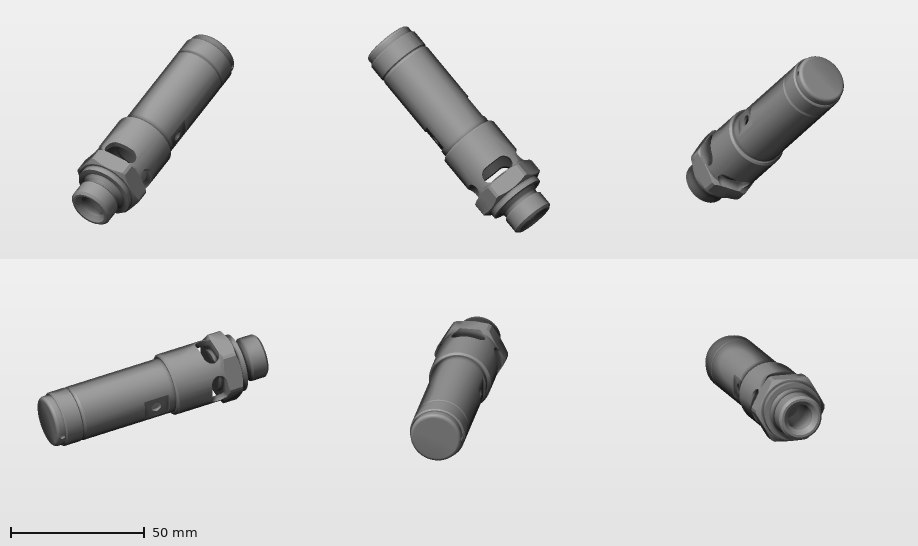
import cadquery as cq
import math


overall_length = 87.5
thread_end = 6.4
neck_start = 7.2
neck_end = 8.0
neck_cone_start = 8.8
flange_start = 10.0
hex_start = 12.25
hex_end = 19.3
slot_top = 24.9
tube_start = 32.0
skirt_end = 39.25
flat_centre = 47.0
tube_end = 77.0
cap_knob_start = 84.2
seal_hole_centre = 85.5

thread_radius = 8.35
thread_chamfer = 0.9
neck_radius = 7.5
neck_cone_radius = 8.8
flange_radius = 11.0
hex_across_flats = 24.0
hex_corner_radius = 13.5
hex_chamfer_angle = 30.0
skirt_radius = 11.8
skirt_chamfer = 0.7
cavity_radius = 9.5
inlet_radius = 4.85
countersink = 1.7
slot_count = 4
slot_width = 12.8
slot_height = 6.1
cavity_floor = slot_top - slot_height

tube_radius = 10.45
tube_bore_radius = 8.5
groove_depth = 0.5
tube_groove_chamfer = 1.0
flat_length = 10.0
flat_width = 8.7
flat_distance = math.sqrt(tube_radius**2 - (flat_width / 2) ** 2)
side_hole_diameter = 4.0

cap_chamfer = 0.5
cap_knob_radius = 9.7
cap_edge_radius = 1.3
seal_hole_diameter = 1.9

disc_radius = 8.0
disc_top = 20.1
disc_chamfer = 0.3


def turned(profile):
    """Revolve a closed (radius, y) profile about the Y axis."""
    return profile.close().revolve(360, (0, 0, 0), (0, 1, 0))


def cross_hole(diameter, y):
    """Cylinder along X that runs through the whole valve at station y."""
    length = 4 * skirt_radius
    return cq.Workplane("YZ").center(y, 0).circle(diameter / 2).extrude(length / 2, both=True)


def make_hexagon():
    """Wrench hexagon with flats up and down and turned, chamfered corners."""
    height = hex_end - hex_start
    prism = (
        cq.Workplane("XZ", origin=(0, hex_end, 0))
        .polygon(6, hex_across_flats / math.cos(math.pi / 6))
        .extrude(height)
    )
    drop = (hex_corner_radius - skirt_radius) * math.tan(math.radians(hex_chamfer_angle))
    envelope = turned(
        cq.Workplane("XY")
        .moveTo(0, hex_start)
        .lineTo(skirt_radius, hex_start)
        .lineTo(hex_corner_radius, hex_start + drop)
        .lineTo(hex_corner_radius, hex_end - drop)
        .lineTo(skirt_radius, hex_end)
        .lineTo(0, hex_end)
    )
    return prism.intersect(envelope)


def make_turned_fitting():
    """Outside of the fitting: thread, relief neck, flange and skirt."""
    cone_angle = math.atan2(neck_cone_radius - neck_radius, flange_start - neck_cone_start)
    fillet_rise = neck_cone_start - neck_end
    fillet_radius = fillet_rise / math.sin(cone_angle)
    cone_root_radius = neck_radius + fillet_radius * (1 - math.cos(cone_angle))
    fillet_middle = (
        neck_radius + fillet_radius * (1 - math.cos(cone_angle / 2)),
        neck_end + fillet_radius * math.sin(cone_angle / 2),
    )
    return turned(
        cq.Workplane("XY")
        .lineTo(thread_radius - thread_chamfer, 0)
        .lineTo(thread_radius, thread_chamfer)
        .lineTo(thread_radius, thread_end)
        .lineTo(neck_radius, neck_start)
        .lineTo(neck_radius, neck_end)
        .threePointArc(fillet_middle, (cone_root_radius, neck_cone_start))
        .lineTo(neck_cone_radius, flange_start)
        .lineTo(flange_radius, flange_start)
        .lineTo(flange_radius, hex_start)
        .lineTo(skirt_radius, hex_start)
        .lineTo(skirt_radius, skirt_end - skirt_chamfer)
        .lineTo(skirt_radius - skirt_chamfer, skirt_end)
        .lineTo(0, skirt_end)
    )


def make_fitting_bore():
    """Countersunk inlet that opens into the wide outlet cavity."""
    return turned(
        cq.Workplane("XY")
        .lineTo(inlet_radius + countersink, 0)
        .lineTo(inlet_radius, countersink)
        .lineTo(inlet_radius, cavity_floor)
        .lineTo(cavity_radius, cavity_floor)
        .lineTo(cavity_radius, skirt_end)
        .lineTo(0, skirt_end)
    )


def make_outlet_slot(angle):
    """Round-ended outlet slot through one side of the skirt."""
    slot = (
        cq.Workplane("XY", origin=(0, slot_top - slot_height / 2, 0))
        .slot2D(slot_width, slot_height)
        .extrude(hex_corner_radius)
    )
    return slot.rotate((0, 0, 0), (0, 1, 0), angle)


def make_fitting():
    fitting = make_turned_fitting().union(make_hexagon()).cut(make_fitting_bore())
    for index in range(slot_count):
        fitting = fitting.cut(make_outlet_slot(index * 360 / slot_count))
    return fitting


def make_tube():
    """Spring tube, with a spigot in the skirt and a drilled flat on each side."""
    tube = turned(
        cq.Workplane("XY")
        .moveTo(tube_bore_radius, tube_start)
        .lineTo(cavity_radius, tube_start)
        .lineTo(cavity_radius, skirt_end)
        .lineTo(tube_radius, skirt_end)
        .lineTo(tube_radius, tube_end - tube_groove_chamfer)
        .lineTo(tube_radius - groove_depth, tube_end)
        .lineTo(tube_bore_radius, tube_end)
    )
    for side in (-1, 1):
        flat_cutter = cq.Workplane("XY").box(tube_radius, flat_length, 2 * tube_radius)
        offset = side * (flat_distance + tube_radius / 2)
        tube = tube.cut(flat_cutter.translate((offset, flat_centre, 0)))
    return tube.cut(cross_hole(side_hole_diameter, flat_centre))


def make_cap():
    """Cap on the end of the tube, with a seal-wire hole across its knob."""
    cap_radius = tube_radius
    cap = turned(
        cq.Workplane("XY")
        .moveTo(0, tube_end)
        .lineTo(cap_radius - groove_depth, tube_end)
        .lineTo(cap_radius, tube_end + groove_depth)
        .lineTo(cap_radius, cap_knob_start - cap_chamfer)
        .lineTo(cap_radius - cap_chamfer, cap_knob_start)
        .lineTo(cap_knob_radius, cap_knob_start)
        .lineTo(cap_knob_radius, overall_length)
        .lineTo(0, overall_length)
    )
    cap = cap.faces(">Y").edges().fillet(cap_edge_radius)
    return cap.cut(cross_hole(seal_hole_diameter, seal_hole_centre))


def make_valve_disc():
    """Disc that lies on the cavity floor and closes the inlet."""
    disc = (
        cq.Workplane("XZ", origin=(0, disc_top, 0))
        .circle(disc_radius)
        .extrude(disc_top - cavity_floor)
    )
    return disc.faces(">Y").edges().chamfer(disc_chamfer)


fitting = make_fitting().solids()
tube = make_tube().solids()
cap = make_cap().solids()
valve_disc = make_valve_disc().solids()

result = cq.Compound.makeCompound([fitting.val(), tube.val(), cap.val(), valve_disc.val()])